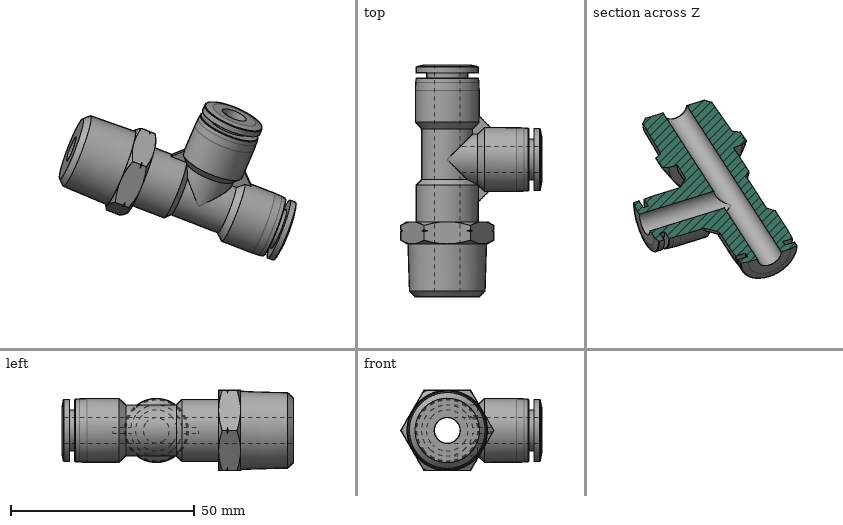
import cadquery as cq
import math


neck_radius = 7.0
neck_end = 8.3
socket_radius = 8.75
socket_start = 10.2
socket_taper_start = 18.9
socket_taper_middle = 21.0
socket_taper_middle_radius = 8.65
socket_end = 22.3
socket_end_radius = 8.55
rim_chamfer = 0.2

collar_neck_radius = 5.65
collar_radius = 8.5
collar_start = 23.65
collar_end = 25.8
collar_edge = 25.2
collar_face_radius = 6.3

bore_radius = 3.5

stem_radius = 8.5
stem_cone_start = -5.45
stem_cone_end = -6.95

hex_flats = 22.0
hex_corner_radius = hex_flats / math.sqrt(3)
hex_top = -17.0
hex_bottom = -23.0
hex_middle = (hex_top + hex_bottom) / 2
hex_chamfer_angle = math.radians(30)
hex_face_radius = hex_flats / 2
hex_groove_depth = 0.45
hex_groove_half_width = 0.2
hex_groove_offset = 0.55
hex_groove_y = hex_middle + hex_groove_offset

thread_end = -37.5
thread_chamfer_length = 1.65
thread_chamfer_depth = 1.55
thread_top_radius = 10.75
thread_taper = 1 / 16

gusset_thickness = 1.6
upper_gusset_leg = 20.6
lower_gusset_leg = 20.05
gusset_root = (bore_radius + neck_radius) / 2


def revolve_about_y(profile):
    """Turn (radius, y) points around the Y axis."""
    return cq.Workplane("XY").polyline(profile).close().revolve(360, (0, 0, 0), (0, 1, 0))


def make_socket_arm():
    """Neck, socket and release collar along +Y, starting at the origin."""
    collar_edge_end = collar_edge + rim_chamfer
    return revolve_about_y([
        (0, 0),
        (neck_radius, 0),
        (neck_radius, neck_end),
        (socket_radius, socket_start),
        (socket_radius, socket_taper_start),
        (socket_taper_middle_radius, socket_taper_middle),
        (socket_end_radius, socket_end - rim_chamfer),
        (socket_end_radius - rim_chamfer, socket_end),
        (collar_neck_radius, socket_end),
        (collar_neck_radius, collar_start),
        (collar_radius, collar_start),
        (collar_radius, collar_edge),
        (collar_radius - rim_chamfer, collar_edge_end),
        (collar_face_radius, collar_end),
        (0, collar_end),
    ])


def make_stem():
    """Neck, cone and cylinder from the origin down to the hexagon."""
    return revolve_about_y([
        (0, 0),
        (neck_radius, 0),
        (neck_radius, stem_cone_start),
        (stem_radius, stem_cone_end),
        (stem_radius, hex_top),
        (0, hex_top),
    ])


def make_hexagon():
    """Hexagon with chamfered corners and a fine V groove across the corners."""
    chamfer_height = (hex_corner_radius - hex_face_radius) * math.tan(hex_chamfer_angle)
    prism = (
        cq.Workplane("XZ", origin=(0, hex_top, 0))
        .polygon(6, 2 * hex_corner_radius)
        .extrude(hex_top - hex_bottom)
    )
    envelope = revolve_about_y([
        (0, hex_top),
        (hex_face_radius, hex_top),
        (hex_corner_radius, hex_top - chamfer_height),
        (hex_corner_radius, hex_groove_y + hex_groove_half_width),
        (hex_corner_radius - hex_groove_depth, hex_groove_y),
        (hex_corner_radius, hex_groove_y - hex_groove_half_width),
        (hex_corner_radius, hex_bottom + chamfer_height),
        (hex_face_radius, hex_bottom),
        (0, hex_bottom),
    ])
    return prism.intersect(envelope)


def make_thread_shank():
    """Tapered shank with a chamfered end."""
    chamfer_start = thread_end + thread_chamfer_length
    end_radius = thread_top_radius - (hex_bottom - chamfer_start) * thread_taper / 2
    return revolve_about_y([
        (0, hex_bottom),
        (thread_top_radius, hex_bottom),
        (end_radius, chamfer_start),
        (end_radius - thread_chamfer_depth, thread_end),
        (0, thread_end),
    ])


def make_gusset(leg, y_direction):
    """Triangular web whose sloping edge meets each axis at the leg distance."""
    return (
        cq.Workplane("XY", origin=(0, 0, -gusset_thickness / 2))
        .polyline([
            (gusset_root, y_direction * gusset_root),
            (leg - gusset_root, y_direction * gusset_root),
            (gusset_root, y_direction * (leg - gusset_root)),
        ])
        .close()
        .extrude(gusset_thickness)
    )


def make_bores():
    """Through bore of the run and the branch bore that opens into it."""
    run_bore = (
        cq.Workplane("XZ", origin=(0, collar_end, 0))
        .circle(bore_radius)
        .extrude(collar_end - thread_end)
    )
    branch_bore = cq.Workplane("YZ").circle(bore_radius).extrude(collar_end)
    return run_bore.union(branch_bore)


run_arm = make_socket_arm()
branch_arm = make_socket_arm().rotate((0, 0, 0), (0, 0, 1), -90)
body = run_arm.union(make_stem())
body = body.union(branch_arm)
body = body.union(make_gusset(upper_gusset_leg, 1))
body = body.union(make_gusset(lower_gusset_leg, -1))
body = body.union(make_hexagon())
body = body.union(make_thread_shank())

result = body.cut(make_bores())